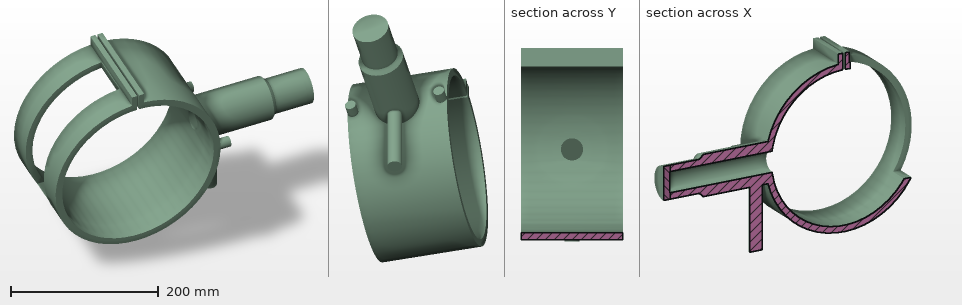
import cadquery as cq
import math

ring_width = 138.0
ring_outer_radius = 122.5
ring_wall = 10.0
ring_inner_radius = ring_outer_radius - ring_wall

split_gap = 3.0
lug_thickness = 7.5
lug_height = 15.0
lug_outer_y = split_gap / 2 + lug_thickness
lug_foot_z = math.sqrt(ring_outer_radius**2 - lug_outer_y**2)
lug_top_z = lug_foot_z + lug_height

window_width = 60.0
window_back_y = -10.0
window_bottom_z = -62.5

stem_end_y = 281.0
cap_thickness = 10.0
cap_front_y = stem_end_y - cap_thickness
neck_diameter = 50.0
sleeve_diameter = 62.0
sleeve_end_y = 225.0
sleeve_chamfer = 6.0
bore_diameter = 30.0

handle_diameter = 20.0
handle_y = 137.0
handle_bottom_z = -125.0

peg_diameter = 15.0
peg_end_y = 138.5
peg_offset_x = (ring_width - peg_diameter) / 2


def rod_along_y(diameter, start_y, end_y, x=0.0):
    """Solid round rod parallel to Y between two Y positions."""
    return (
        cq.Workplane("XZ", origin=(x, start_y, 0))
        .circle(diameter / 2)
        .extrude(start_y - end_y)
    )


def block(width, y_range, z_range):
    """Box centred on X that spans the given Y and Z ranges."""
    y_low, y_high = y_range
    z_low, z_high = z_range
    return cq.Workplane("XY").box(width, y_high - y_low, z_high - z_low).translate(
        (0, (y_low + y_high) / 2, (z_low + z_high) / 2)
    )


def cylinder_along_x(radius):
    """Solid cylinder on the ring axis, as wide as the ring."""
    return cq.Workplane("YZ").circle(radius).extrude(ring_width / 2, both=True)


def make_stem():
    """Sleeve with a chamfered end and the thinner neck behind it."""
    sleeve = rod_along_y(sleeve_diameter, 0, sleeve_end_y)
    sleeve = sleeve.faces(">Y").chamfer(sleeve_chamfer)
    return sleeve.union(rod_along_y(neck_diameter, 0, cap_front_y))


def make_handle():
    """Vertical rod that runs from the stem axis down to the handle tip."""
    return (
        cq.Workplane("XY", origin=(0, handle_y, 0))
        .circle(handle_diameter / 2)
        .extrude(handle_bottom_z)
    )


def make_clamp():
    """Split ring with lugs, window, pegs, hollow stem and handle."""
    clamp = cylinder_along_x(ring_outer_radius)
    clamp = clamp.union(block(ring_width, (-lug_outer_y, lug_outer_y), (0, lug_top_z)))
    clamp = clamp.union(make_stem()).union(make_handle())
    for side in (-1, 1):
        clamp = clamp.union(rod_along_y(peg_diameter, 0, peg_end_y, side * peg_offset_x))

    clamp = clamp.cut(cylinder_along_x(ring_inner_radius))
    clamp = clamp.cut(block(ring_width, (-split_gap / 2, split_gap / 2), (0, lug_top_z)))
    clamp = clamp.cut(
        block(window_width, (-ring_outer_radius, window_back_y), (window_bottom_z, ring_outer_radius))
    )
    return clamp.cut(rod_along_y(bore_diameter, 0, cap_front_y))


def make_cap():
    """Disc that closes the open end of the stem."""
    return rod_along_y(neck_diameter, cap_front_y, stem_end_y)


clamp = make_clamp()
cap = make_cap()

result = cq.Compound.makeCompound([*clamp.solids().vals(), cap.val()])